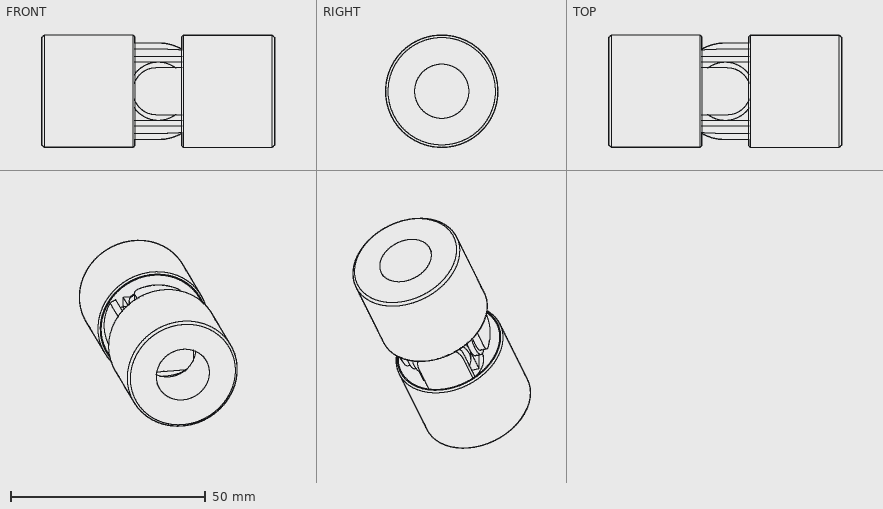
import cadquery as cq

joint_length = 60.0
hub_diameter = 29.0
hub_gap = 12.0
bore_diameter = 14.0
end_chamfer = 0.65
gap_chamfer = 0.5
socket_radius = 15.0

tine_outer_radius = 12.5
tine_half_width = 6.05
tine_tip_offset = 0.5

block_length = 16.0
block_width = 15.0
boss_diameter = 15.0
boss_height = 1.5

half_length = joint_length / 2
half_gap = hub_gap / 2
hub_length = half_length - half_gap
tine_inner_face = block_width / 2 + boss_height
tine_root = -socket_radius


def make_hub():
    """Chamfered cylinder on the -X side, with a spherical hollow facing the joint centre."""
    hub = cq.Workplane("YZ", origin=(-half_length, 0, 0)).circle(hub_diameter / 2).extrude(hub_length)
    hub = hub.faces("<X").chamfer(end_chamfer)
    hub = hub.faces(">X").chamfer(gap_chamfer)
    return hub.cut(cq.Workplane("XY").sphere(socket_radius))


def make_tines():
    """Two round-tipped tines above and below the joint centre, with a domed back."""
    tine_height = tine_outer_radius - tine_inner_face
    tip_end = tine_tip_offset + tine_half_width
    outline = (
        cq.Workplane("XY", origin=(0, 0, tine_inner_face))
        .moveTo(tine_root, -tine_half_width)
        .lineTo(tine_tip_offset, -tine_half_width)
        .threePointArc((tip_end, 0), (tine_tip_offset, tine_half_width))
        .lineTo(tine_root, tine_half_width)
        .close()
    )
    upper = outline.extrude(tine_height)
    back = cq.Workplane("YZ", origin=(tine_root, 0, 0)).circle(tine_outer_radius).extrude(-tine_root)
    back = back.union(cq.Workplane("XY").sphere(tine_outer_radius))
    upper = upper.intersect(back)
    return upper.union(upper.mirror("XY"))


def make_fork():
    """Hub on the -X side with its tines at +Z and -Z, and a bore open to the hollow."""
    bore = cq.Workplane("YZ", origin=(-half_length, 0, 0)).circle(bore_diameter / 2).extrude(hub_length)
    return make_hub().union(make_tines()).cut(bore)


def make_cross():
    """Square block with a round boss on each of the four faces that meet a tine."""
    cross = cq.Workplane("XY").box(block_length, block_width, block_width)
    for plane in ("XY", "XZ"):
        boss_pair = cq.Workplane(plane).circle(boss_diameter / 2).extrude(tine_inner_face, both=True)
        cross = cross.union(boss_pair)
    return cross


forks = []
for half_turn, quarter_turn in ((0, 0), (180, 90)):
    fork = make_fork().rotate((0, 0, 0), (0, 0, 1), half_turn)
    fork = fork.rotate((0, 0, 0), (1, 0, 0), quarter_turn)
    forks.extend(fork.solids().vals())

cross = make_cross()

result = cq.Compound.makeCompound([*forks, *cross.solids().vals()])